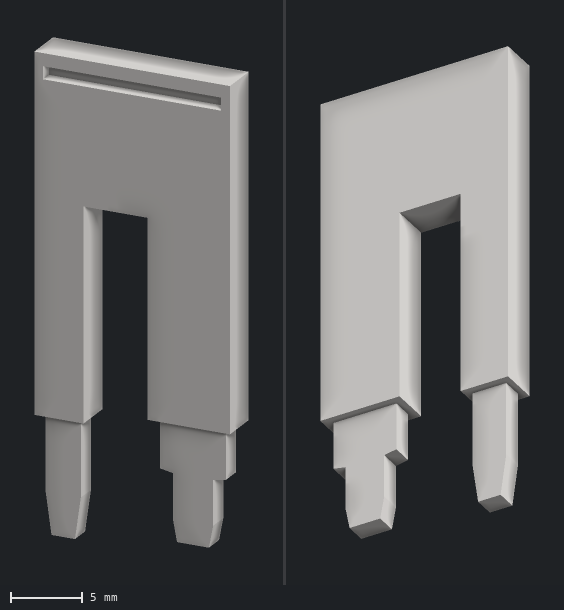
import cadquery as cq

width = 15.1
thickness = 3.0
height = 36.25
left_leg_width = 3.8
right_leg_start = 8.75
left_leg_bottom = 9.05
right_leg_bottom = 10.2
gap_top = 25.3

pin_thickness = 1.63
left_pin_width = 2.72
left_pin_tip_width = 1.8
left_pin_taper = 3.2
right_pin_width = 3.1
right_pin_tip_width = 2.45
right_pin_taper = 1.7
right_pin_bottom = 1.12
shoulder_width = 5.08
shoulder_outer_z = 6.4
shoulder_inner_z = 6.25

slot_side_margin = 0.7
slot_top = height - 0.98
slot_back_top = height - 1.2
slot_bottom = height - 1.95
slot_depth = 0.95

left_pin_x = left_leg_width / 2
right_pin_x = (right_leg_start + width) / 2


def make_housing():
    outline = [
        (0, left_leg_bottom),
        (left_leg_width, left_leg_bottom),
        (left_leg_width, gap_top),
        (right_leg_start, gap_top),
        (right_leg_start, right_leg_bottom),
        (width, right_leg_bottom),
        (width, height),
        (0, height),
    ]
    return cq.Workplane("XZ").polyline(outline).close().extrude(thickness / 2, both=True)


def make_pin(center_x, half_profile):
    """Mirror (half width, z) points about the pin's centre line and extrude."""
    right_side = [(center_x + half, z) for half, z in half_profile]
    left_side = [(center_x - half, z) for half, z in reversed(half_profile)]
    outline = cq.Workplane("XZ").polyline(right_side + left_side).close()
    return outline.extrude(pin_thickness / 2, both=True)


def make_slot():
    front_y = -thickness / 2
    back_y = front_y + slot_depth
    section = [
        (front_y, slot_bottom),
        (back_y, slot_bottom),
        (back_y, slot_back_top),
        (front_y, slot_top),
    ]
    slot_length = width - 2 * slot_side_margin
    plane = cq.Workplane("YZ", origin=(slot_side_margin, 0, 0))
    return plane.polyline(section).close().extrude(slot_length)


left_pin = make_pin(left_pin_x, [
    (left_pin_tip_width / 2, 0),
    (left_pin_width / 2, left_pin_taper),
    (left_pin_width / 2, left_leg_bottom),
])
right_pin = make_pin(right_pin_x, [
    (right_pin_tip_width / 2, right_pin_bottom),
    (right_pin_width / 2, right_pin_bottom + right_pin_taper),
    (right_pin_width / 2, shoulder_inner_z),
    (shoulder_width / 2, shoulder_outer_z),
    (shoulder_width / 2, right_leg_bottom),
])

result = make_housing().union(left_pin).union(right_pin).cut(make_slot())